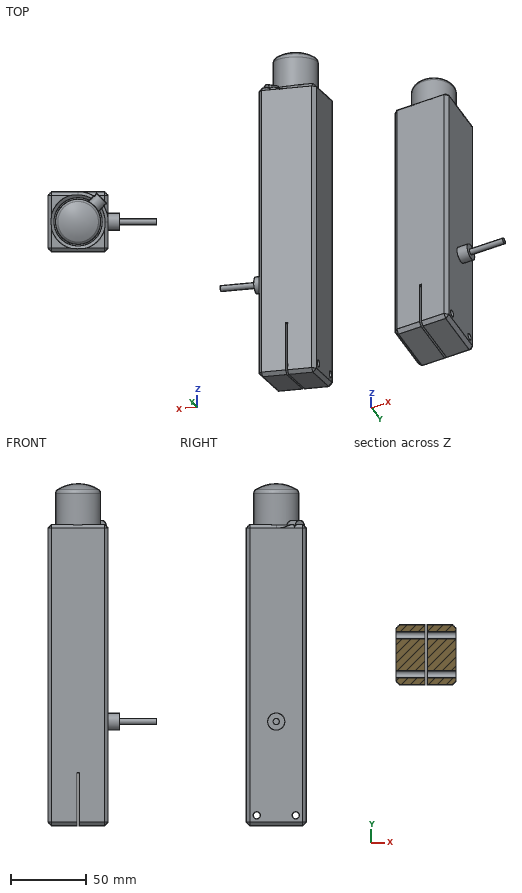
import cadquery as cq
import math

HOUSING_WIDTH = 40.0
HOUSING_HEIGHT = 200.0
EDGE_CHAMFER = 2.5

BORE_DIAMETER = 32.0
BORE_DEPTH = 22.7
BORE_MOUTH_DIAMETER = 36.5

SLOT_WIDTH = 1.4
SLOT_HEIGHT = 35.2
CLAMP_HOLE_DIAMETER = 4.5
CLAMP_HOLE_OFFSET = 13.0
CLAMP_HOLE_HEIGHT = 7.0

TOTAL_HEIGHT = 227.0
BUTTON_DIAMETER = 30.0
DOME_RADIUS = 25.5
DOME_EDGE_FILLET = 3.2

KEY_DIAMETER = 9.5
KEY_REACH = 22.0
KEY_DROP = 2.0
KEY_ANGLE = 45
RELIEF_SWEEP = 2 * KEY_ANGLE

CABLE_HEIGHT = 69.2
CABLE_DIAMETER = 4.0
CABLE_LENGTH = 32.0
GLAND_DIAMETER = 11.4
GLAND_LENGTH = 7.5

HALF_WIDTH = HOUSING_WIDTH / 2
BUTTON_BOTTOM = HOUSING_HEIGHT - BORE_DEPTH


def cylinder_along_x(diameter, start_x, length, y, z):
    """Solid cylinder running towards +X from start_x."""
    return (
        cq.Workplane("YZ", origin=(start_x, y, z))
        .circle(diameter / 2)
        .extrude(length)
    )


def make_key_shape():
    """Radial pin from the button axis out to its free end."""
    key = cylinder_along_x(KEY_DIAMETER, 0, KEY_REACH, 0, HOUSING_HEIGHT - KEY_DROP)
    return key.rotate((0, 0, 0), (0, 0, 1), KEY_ANGLE)


def make_button_bore():
    """Round bore with a 45 degree countersink at the top of the housing."""
    bore_radius = BORE_DIAMETER / 2
    mouth_radius = BORE_MOUTH_DIAMETER / 2
    countersink_depth = mouth_radius - bore_radius
    return (
        cq.Workplane("XZ")
        .moveTo(0, BUTTON_BOTTOM)
        .lineTo(bore_radius, BUTTON_BOTTOM)
        .lineTo(bore_radius, HOUSING_HEIGHT - countersink_depth)
        .lineTo(mouth_radius, HOUSING_HEIGHT)
        .lineTo(0, HOUSING_HEIGHT)
        .close()
        .revolve(360, (0, 0, 0), (0, 1, 0))
    )


def make_corner_relief():
    """Part ring cut out of the +X +Y corner, sloping outwards in line with the top edge chamfers."""
    return (
        cq.Workplane("XZ")
        .moveTo(HALF_WIDTH - EDGE_CHAMFER, HOUSING_HEIGHT)
        .lineTo(HALF_WIDTH, HOUSING_HEIGHT)
        .lineTo(HALF_WIDTH, HOUSING_HEIGHT - EDGE_CHAMFER)
        .close()
        .revolve(RELIEF_SWEEP, (0, 0, 0), (0, 1, 0))
    )


def make_clamp_slot():
    """Slot through the housing along Y, open at the bottom."""
    return cq.Workplane("XY").box(SLOT_WIDTH, HOUSING_WIDTH, SLOT_HEIGHT, centered=(True, True, False))


def make_housing():
    housing = (
        cq.Workplane("XY")
        .box(HOUSING_WIDTH, HOUSING_WIDTH, HOUSING_HEIGHT, centered=(True, True, False))
        .edges()
        .chamfer(EDGE_CHAMFER)
    )
    housing = housing.cut(make_button_bore())
    housing = housing.cut(make_corner_relief())
    housing = housing.cut(make_key_shape())
    housing = housing.cut(make_clamp_slot())
    for y in (-CLAMP_HOLE_OFFSET, CLAMP_HOLE_OFFSET):
        clamp_hole = cylinder_along_x(CLAMP_HOLE_DIAMETER, -HALF_WIDTH, HOUSING_WIDTH, y, CLAMP_HOLE_HEIGHT)
        housing = housing.cut(clamp_hole)
    return housing


def make_button():
    """Round button with a filleted spherical top and the key on its side."""
    body_radius = BUTTON_DIAMETER / 2
    dome_centre_z = TOTAL_HEIGHT - DOME_RADIUS
    dome_edge_z = dome_centre_z + math.sqrt(DOME_RADIUS**2 - body_radius**2)
    mid_angle = math.asin(body_radius / DOME_RADIUS) / 2
    dome_middle = (
        DOME_RADIUS * math.sin(mid_angle),
        dome_centre_z + DOME_RADIUS * math.cos(mid_angle),
    )
    button = (
        cq.Workplane("XZ")
        .moveTo(0, BUTTON_BOTTOM)
        .lineTo(body_radius, BUTTON_BOTTOM)
        .lineTo(body_radius, dome_edge_z)
        .threePointArc(dome_middle, (0, TOTAL_HEIGHT))
        .close()
        .revolve(360, (0, 0, 0), (0, 1, 0))
    )
    button = button.edges(cq.selectors.RadiusNthSelector(0)).edges(">Z").fillet(DOME_EDGE_FILLET)
    return button.union(make_key_shape())


def make_cable():
    return cylinder_along_x(CABLE_DIAMETER, HALF_WIDTH, CABLE_LENGTH, 0, CABLE_HEIGHT)


def make_gland():
    """Sleeve around the cable, seated on the side of the housing."""
    sleeve = cylinder_along_x(GLAND_DIAMETER, HALF_WIDTH, GLAND_LENGTH, 0, CABLE_HEIGHT)
    return sleeve.cut(make_cable())


housing = make_housing()
button = make_button()
gland = make_gland()
cable = make_cable()

result = cq.Compound.makeCompound([body.solids().val() for body in (housing, button, gland, cable)])